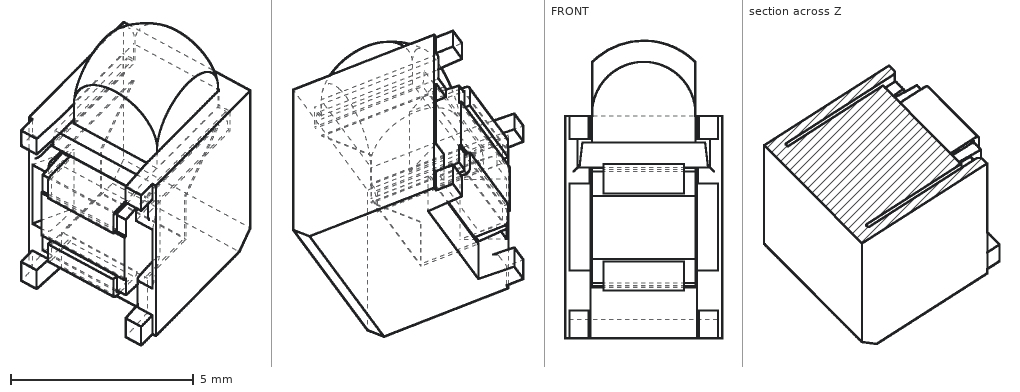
import cadquery as cq
import math


body_width = 4.32
body_height = 6.11
body_reach = 4.4
back_wall = 0.49
back_chamfer = 0.515
cavity_width = 2.91
cavity_floor = 1.4
floor_reach = 3.84
ramp_reach = 2.045
ramp_bottom = 3.15

post_reach = 4.925
post_outer_x = 2.045
post_inner_x = 1.51
top_post_bottom = 5.48
bottom_post_top = 0.77

groove_width = 3.65
groove_floor = 4.69
edge_radius = 0.13
window_bottom = 1.86
window_top = 4.25
window_depth = 1.145

total_height = 8.18
lamp_side = 2.83
dome_radius = 2.005
flange_top = 5.38
flange_top_width = 3.37
flange_bottom_width = 3.53
core_bottom = 1.44
core_top = 4.68
core_reach = 3.87
base_bottom = 1.51
base_top = 4.58
base_reach = 4.78
pad_bottom = 2.18
pad_top = 3.91
pad_reach = 4.84

lead_width = 2.225
lead_thickness = 0.15
lead_bend_radius = 0.15
lead_reach = 4.95
lead_outer_top = 4.785
lead_tip = 3.98
lead_mid_z = (base_bottom + base_top) / 2


def block(x_min, x_max, reach_min, reach_max, z_min, z_max):
    """Box between two X values, two reaches from the back face and two heights."""
    size = (x_max - x_min, reach_max - reach_min, z_max - z_min)
    return cq.Workplane("XY").box(*size, centered=False).translate((x_min, -reach_max, z_min))


def centered_block(width, reach_min, reach_max, z_min, z_max):
    """Box symmetric about X = 0."""
    return block(-width / 2, width / 2, reach_min, reach_max, z_min, z_max)


def add_mirrored(solid):
    """The solid together with its mirror image across X = 0."""
    return solid.union(solid.mirror("YZ"))


def prism_along_z(points, z_min, z_max):
    """Vertical prism from (x, y) points."""
    return cq.Workplane("XY").workplane(offset=z_min).polyline(points).close().extrude(z_max - z_min)


def wall_x(reach):
    """X of the inner wall face, which tapers outward from the floor edge to the post fronts."""
    taper = (post_inner_x - cavity_width / 2) / (post_reach - floor_reach)
    return cavity_width / 2 + taper * (reach - floor_reach)


def make_shell():
    shell = centered_block(body_width, 0, body_reach, 0, body_height)
    shell = shell.edges(">Y and <Z").chamfer(back_chamfer)
    shell = shell.cut(centered_block(cavity_width, back_wall, floor_reach, cavity_floor, body_height))
    shell = shell.cut(centered_block(groove_width, back_wall, body_reach, groove_floor, top_post_bottom))
    return shell.cut(make_groove_rounding()).cut(make_windows())


def make_groove_rounding():
    """Material removed by rounding the groove mouth at its sides and bottom."""
    rim = centered_block(
        groove_width + 2 * edge_radius,
        body_reach - edge_radius,
        body_reach,
        groove_floor - edge_radius,
        top_post_bottom,
    )
    side_x = groove_width / 2 + edge_radius
    round_y = edge_radius - body_reach
    floor_z = groove_floor - edge_radius
    upright = (
        cq.Workplane("XY")
        .workplane(offset=floor_z)
        .center(side_x, round_y)
        .circle(edge_radius)
        .extrude(top_post_bottom - floor_z)
    )
    lying = (
        cq.Workplane("YZ")
        .center(round_y, floor_z)
        .circle(edge_radius)
        .extrude(side_x, both=True)
    )
    return rim.cut(add_mirrored(upright)).cut(lying)


def make_wall_rounding():
    """Material removed by rounding the inner wall edges between bottom posts and windows."""
    x = wall_x(body_reach - edge_radius)
    bulge = edge_radius * (1 - math.sqrt(0.5))
    corner = (
        cq.Workplane("XY")
        .workplane(offset=bottom_post_top)
        .moveTo(x, -body_reach)
        .lineTo(x + edge_radius, -body_reach)
        .threePointArc((x + bulge, bulge - body_reach), (x, edge_radius - body_reach))
        .close()
        .extrude(window_bottom - bottom_post_top)
    )
    return add_mirrored(corner)


def make_windows():
    """Wedges that flare the cavity walls toward the front face."""
    x = cavity_width / 2
    outline = [(x, -body_reach), (post_outer_x, -body_reach), (x, window_depth - body_reach)]
    return add_mirrored(prism_along_z(outline, window_bottom, window_top))


def make_posts():
    """Four corner posts in front of the side walls."""
    bottom = block(cavity_width / 2, post_outer_x, body_reach, post_reach, 0, bottom_post_top)
    top = block(cavity_width / 2, post_outer_x, body_reach, post_reach, top_post_bottom, body_height)
    return add_mirrored(bottom.union(top))


def make_mouth():
    """Opening between the walls and posts that widens toward the front over the full height."""
    outline = [
        (-wall_x(floor_reach), -floor_reach),
        (wall_x(floor_reach), -floor_reach),
        (wall_x(post_reach), -post_reach),
        (-wall_x(post_reach), -post_reach),
    ]
    return prism_along_z(outline, 0, body_height)


def make_holder():
    holder = make_shell().union(make_posts()).cut(make_mouth())
    return holder.cut(make_wall_rounding()).union(make_ramp())


def prism_along_x(width, points):
    """Prism symmetric about X = 0 from (reach, z) points."""
    outline = [(-reach, z) for reach, z in points]
    return cq.Workplane("YZ").polyline(outline).close().extrude(width / 2, both=True)


def make_ramp():
    """Filling at the back of the cavity with a 45 degree top that faces up and forward."""
    ramp_top = ramp_bottom + ramp_reach - back_wall
    outline = [
        (back_wall, cavity_floor),
        (ramp_reach, cavity_floor),
        (ramp_reach, ramp_bottom),
        (back_wall, ramp_top),
    ]
    return prism_along_x(cavity_width, outline)


def make_lamp_base():
    """Base whose top and bottom taper toward the front."""
    outline = [
        (floor_reach, core_bottom),
        (base_reach, base_bottom),
        (base_reach, base_top),
        (floor_reach, core_top),
    ]
    return prism_along_x(lamp_side, outline)


def make_lamp():
    lens_reach = back_wall + lamp_side
    lens_y = -(back_wall + lens_reach) / 2
    dome_z = total_height - dome_radius
    lens = centered_block(lamp_side, back_wall, lens_reach, flange_top, total_height)
    dome = cq.Workplane("XY").sphere(dome_radius).translate((0, lens_y, dome_z))
    barrel = (
        cq.Workplane("XY")
        .workplane(offset=flange_top)
        .center(0, lens_y)
        .circle(dome_radius)
        .extrude(dome_z - flange_top)
    )
    lens = lens.intersect(dome.union(barrel))
    flange_outline = [
        (-flange_bottom_width / 2, groove_floor),
        (flange_bottom_width / 2, groove_floor),
        (flange_top_width / 2, flange_top),
        (-flange_top_width / 2, flange_top),
    ]
    flange = (
        cq.Workplane("XZ")
        .workplane(offset=back_wall)
        .polyline(flange_outline)
        .close()
        .extrude(floor_reach - back_wall)
    )
    core = centered_block(lamp_side, back_wall, core_reach, core_bottom, groove_floor)
    base = make_lamp_base()
    pad = centered_block(lamp_side, floor_reach, pad_reach, pad_bottom, pad_top)
    return lens.union(flange).union(core).union(base).union(pad)


def make_leads():
    """Upper lead, bent down at both ends, and its mirror image at the bottom of the base."""
    envelope = centered_block(lead_width, floor_reach, lead_reach, lead_tip, lead_outer_top)
    upper = envelope.edges("|X and >Z").fillet(lead_bend_radius)
    inside = centered_block(
        lead_width,
        floor_reach + lead_thickness,
        base_reach,
        lead_tip,
        lead_outer_top - lead_thickness,
    )
    upper = upper.cut(inside)
    lower = upper.mirror("XY", (0, 0, lead_mid_z))
    return upper.union(lower)


result = make_holder().union(make_lamp()).union(make_leads())